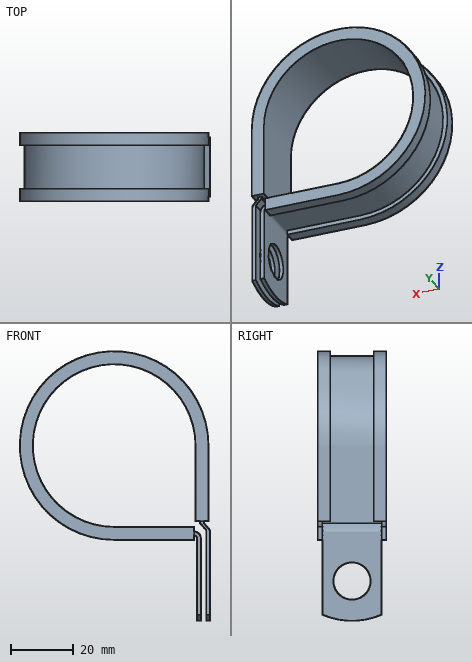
import cadquery as cq
import math

outer_radius = 30.4
cushion_wall = 4.25
cushion_width = 22.1
upper_leg_length = 24.3
lower_leg_length = 25.7

groove_depth = 1.5
groove_width = 13.9
strap_thickness = 1.3
strap_width = 19.1
strap_outer_radius = outer_radius - groove_depth
strap_inner_radius = strap_outer_radius - strap_thickness

tab_bottom = -56.4
outer_tab_face = 30.9
inner_tab_face = 27.95
lower_bend_radius = 1.0
jog_start = -25.0
jog_end = -27.2
jog_round = 0.5
tab_end_sagitta = 2.0
hole_diameter = 11.9
hole_height = -43.6

diagonal = math.sqrt(0.5)


def extrude_centered(profile, width):
    """Extrude an XZ profile symmetrically about Y = 0."""
    return profile.extrude(width / 2, both=True)


def loop_band(outer, inner, width):
    """Three-quarter ring with a straight tangent leg at each end."""
    profile = (
        cq.Workplane("XZ")
        .moveTo(outer, -upper_leg_length)
        .lineTo(outer, 0)
        .threePointArc((-outer * diagonal, outer * diagonal), (0, -outer))
        .lineTo(lower_leg_length, -outer)
        .lineTo(lower_leg_length, -inner)
        .lineTo(0, -inner)
        .threePointArc((-inner * diagonal, inner * diagonal), (inner, 0))
        .lineTo(inner, -upper_leg_length)
        .close()
    )
    return extrude_centered(profile, width)


def lower_tab():
    """Tab on the lower leg, bent a quarter turn downward."""
    inside_face = inner_tab_face - strap_thickness
    bend_x = inside_face - lower_bend_radius
    bend_z = -strap_outer_radius - lower_bend_radius
    outside_radius = lower_bend_radius + strap_thickness
    profile = (
        cq.Workplane("XZ")
        .moveTo(bend_x, -strap_inner_radius)
        .threePointArc(
            (bend_x + outside_radius * diagonal, bend_z + outside_radius * diagonal),
            (inner_tab_face, bend_z),
        )
        .lineTo(inner_tab_face, tab_bottom)
        .lineTo(inside_face, tab_bottom)
        .lineTo(inside_face, bend_z)
        .threePointArc(
            (bend_x + lower_bend_radius * diagonal, bend_z + lower_bend_radius * diagonal),
            (bend_x, -strap_outer_radius),
        )
        .close()
    )
    return extrude_centered(profile, strap_width)


def upper_tab():
    """Tab on the upper leg, jogged outward to clear the lower tab."""
    inside_face = outer_tab_face - strap_thickness
    profile = (
        cq.Workplane("XZ")
        .moveTo(strap_inner_radius, -upper_leg_length)
        .lineTo(strap_outer_radius, -upper_leg_length)
        .lineTo(strap_outer_radius, jog_start)
        .lineTo(outer_tab_face - jog_round, jog_end + jog_round)
        .tangentArcPoint((outer_tab_face, jog_end - jog_round), relative=False)
        .lineTo(outer_tab_face, tab_bottom)
        .lineTo(inside_face, tab_bottom)
        .lineTo(inside_face, jog_end)
        .lineTo(strap_inner_radius, jog_start)
        .close()
    )
    return extrude_centered(profile, strap_width)


def tab_outline():
    """Block through both tabs with a bowed lower end and the bolt hole."""
    half_width = strap_width / 2
    shoulder = tab_bottom + tab_end_sagitta
    return (
        cq.Workplane("YZ")
        .moveTo(-half_width, 0)
        .lineTo(-half_width, shoulder)
        .threePointArc((0, tab_bottom), (half_width, shoulder))
        .lineTo(half_width, 0)
        .close()
        .moveTo(0, hole_height)
        .circle(hole_diameter / 2)
        .extrude(outer_tab_face)
    )


cushion = loop_band(outer_radius, outer_radius - cushion_wall, cushion_width)
groove = loop_band(outer_radius, strap_outer_radius, groove_width)
tabs = lower_tab().union(upper_tab()).intersect(tab_outline())

body = cushion.cut(groove)
result = body.union(tabs)